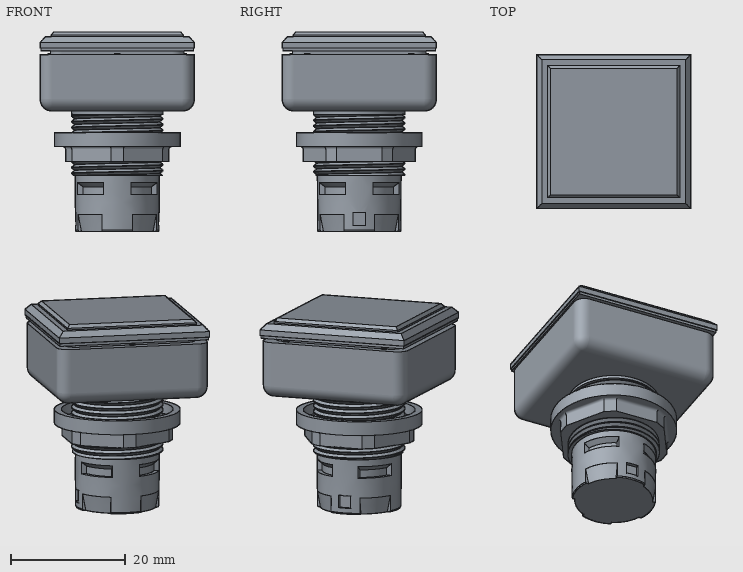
import cadquery as cq
import math

total_height = 34.85
plate_edge_z = 34.3
cap_top_z = 34.0
cap_bevel_z = 33.0
cap_bottom_z = 32.0
cap_skirt_z = 31.5
housing_top_z = 30.88
housing_bottom_z = 21.0
thread_top_z = 20.45
flange_top_z = 17.25
flange_bottom_z = 14.8
nut_bottom_z = 12.2
thread_bottom_z = 9.8

head_width = 26.9
skirt_width = 26.63
cap_top_width = 25.1
plate_width = 23.07
plate_top_width = 22.1
neck_width = 23.35
round_radius = 2.02

nub_height = 0.15
nub_length = 0.98
nub_reach = 12.05
nub_offset = 9.1

thread_radius = 16.0 / 2
ten_turn_rise = 10.0
thread_pitch = ten_turn_rise / 10
thread_root_radius = 7.5
thread_crest_width = 0.1
thread_root_gap = 0.07
ridge_embed = 0.1
crest_z_at_plus_x = 19.65
thread_fuse_tolerance = 0.001
flange_diameter = 22.0
recess_diameter = 19.5
recess_depth = 1.88
nut_across_flats = 18.05
nut_across_corners = 19.6
nut_fillet = 0.5
joint_margin = 0.05

insert_radius = 14.65 / 2
insert_top_radius = 7.35
insert_edge_height = 0.25
insert_edge_inset = 0.1
window_bottom_z = 6.48
window_top_z = 8.57
window_floor_radius = 6.48
window_roof_drop = 0.75
window_wall_offset = 2.4
notch_height = 2.95
notch_wall_offset = 2.7
notch_bottom_radius = 6.8
pocket_width = 2.2
pocket_bottom_z = 1.08
pocket_floor_x = 6.7


def square_block(width, bottom_z, top_z):
    height = top_z - bottom_z
    return cq.Workplane("XY", origin=(0, 0, bottom_z)).rect(width, width).extrude(height)


def square_taper(bottom_width, top_width, bottom_z, top_z):
    return (
        cq.Workplane("XY", origin=(0, 0, bottom_z))
        .rect(bottom_width, bottom_width)
        .workplane(offset=top_z - bottom_z)
        .rect(top_width, top_width)
        .loft(ruled=True)
    )


def cylinder(radius, bottom_z, top_z):
    return cq.Workplane("XY", origin=(0, 0, bottom_z)).circle(radius).extrude(top_z - bottom_z)


def turned(points):
    """Revolve an outline of (radius, z) points about the Z axis."""
    return cq.Workplane("XZ").polyline(points).close().revolve(360, (0, 0), (0, 1))


def make_cap():
    """Square cap with a bevelled rim, a raised bevelled plate and a thin skirt."""
    cap = square_block(skirt_width, cap_skirt_z, cap_bottom_z)
    cap = cap.union(square_block(head_width, cap_bottom_z, cap_bevel_z))
    cap = cap.union(square_taper(head_width, cap_top_width, cap_bevel_z, cap_top_z))
    cap = cap.union(square_block(plate_width, cap_top_z, plate_edge_z))
    return cap.union(square_taper(plate_width, plate_top_width, plate_edge_z, total_height))


def make_housing():
    """Rounded housing, the narrower neck above it and the nubs at the foot of the neck."""
    housing = square_block(head_width, housing_bottom_z, housing_top_z)
    housing = housing.edges("|Z").fillet(round_radius).faces("<Z").edges().fillet(round_radius)
    neck = square_block(neck_width, housing_top_z, cap_skirt_z).edges("|Z").fillet(round_radius)
    housing = housing.union(neck)

    nub_z = housing_top_z + nub_height / 2
    y_bar = cq.Workplane("XY").box(nub_length, 2 * nub_reach, nub_height)
    housing = housing.union(y_bar.translate((0, 0, nub_z)))
    x_bar = cq.Workplane("XY").box(2 * nub_reach, nub_length, nub_height)
    for side in (-1, 1):
        housing = housing.union(x_bar.translate((0, side * nub_offset, nub_z)))
    return housing


def make_shank():
    """Round shank with a right-handed helical ridge, trimmed flat at both ends."""
    turns_below = math.ceil((crest_z_at_plus_x - thread_bottom_z) / thread_pitch) + 1
    start_z = crest_z_at_plus_x - turns_below * thread_pitch
    helix_height = (turns_below + 2) * thread_pitch
    helix = cq.Wire.makeHelix(thread_pitch, helix_height, thread_root_radius, cq.Vector(0, 0, start_z))

    half_base = (thread_pitch - thread_root_gap) / 2
    half_crest = thread_crest_width / 2
    buried_radius = thread_root_radius - ridge_embed
    ridge = (
        cq.Workplane("XZ")
        .polyline([
            (buried_radius, start_z - half_base),
            (thread_root_radius, start_z - half_base),
            (thread_radius, start_z - half_crest),
            (thread_radius, start_z + half_crest),
            (thread_root_radius, start_z + half_base),
            (buried_radius, start_z + half_base),
        ])
        .close()
        .sweep(cq.Workplane(obj=helix), isFrenet=True)
    )
    keep = cylinder(thread_radius + thread_pitch, thread_bottom_z, thread_top_z)
    core = cylinder(thread_root_radius, start_z - thread_pitch, start_z + helix_height + thread_pitch)
    return core.union(ridge, clean=False, tol=thread_fuse_tolerance).intersect(keep, clean=False)


def hexagon(across_flats):
    """Hexagonal prism as tall as the nut, with two corners on the X axis."""
    corner_diameter = across_flats / math.cos(math.radians(30))
    height = flange_bottom_z - nut_bottom_z
    return cq.Workplane("XY", origin=(0, 0, nut_bottom_z)).polygon(6, corner_diameter).extrude(height)


def make_nut():
    """Hexagonal nut with flattened corners, filleted into a recessed round flange."""
    nut = hexagon(nut_across_flats).rotate((0, 0, 0), (0, 0, 1), 30)
    nut = nut.intersect(hexagon(nut_across_corners))
    nut = nut.union(cylinder(flange_diameter / 2, flange_bottom_z, flange_top_z))

    reach = flange_diameter / 2
    joint = cq.selectors.BoxSelector(
        (-reach, -reach, flange_bottom_z - joint_margin),
        (reach, reach, flange_bottom_z + joint_margin),
    )
    nut = nut.edges(joint).edges("%LINE").fillet(nut_fillet)
    return nut.cut(cylinder(recess_diameter / 2, flange_top_z - recess_depth, flange_top_z))


def corner_quadrants(wall_offset, bottom_z, top_z):
    """Four square columns standing clear of the X and Y axes by wall_offset."""
    size = insert_radius
    centre = wall_offset + size / 2
    return (
        cq.Workplane("XY", origin=(0, 0, bottom_z))
        .rect(2 * centre, 2 * centre, forConstruction=True)
        .vertices()
        .rect(size, size)
        .extrude(top_z - bottom_z)
    )


def make_insert():
    """Round insert with four windows, four tapered notches and two side pockets."""
    insert = turned([
        (0, 0),
        (insert_radius - insert_edge_inset, 0),
        (insert_radius, insert_edge_height),
        (insert_top_radius, thread_bottom_z),
        (0, thread_bottom_z),
    ])

    window_ring = turned([
        (window_floor_radius, window_bottom_z),
        (thread_radius, window_bottom_z),
        (thread_radius, window_top_z),
        (insert_top_radius, window_top_z),
        (window_floor_radius, window_top_z - window_roof_drop),
    ])
    windows = window_ring.intersect(corner_quadrants(window_wall_offset, window_bottom_z, window_top_z))

    notch_ring = turned([
        (notch_bottom_radius, 0),
        (thread_radius, 0),
        (thread_radius, notch_height),
        (insert_radius, notch_height),
    ])
    notches = notch_ring.intersect(corner_quadrants(notch_wall_offset, 0, notch_height))
    insert = insert.cut(windows).cut(notches)

    for side in (-1, 1):
        pocket = cq.Workplane("XY").box(pocket_width, pocket_width, pocket_width)
        pocket_x = side * (pocket_floor_x + pocket_width / 2)
        pocket_z = pocket_bottom_z + pocket_width / 2
        insert = insert.cut(pocket.translate((pocket_x, 0, pocket_z)))
    return insert


collar = cylinder(thread_radius, thread_top_z, housing_bottom_z)
head = make_housing().union(make_cap()).union(collar)

result = make_shank().union(make_nut(), clean=False)
result = result.union(make_insert(), clean=False).union(head, clean=False)